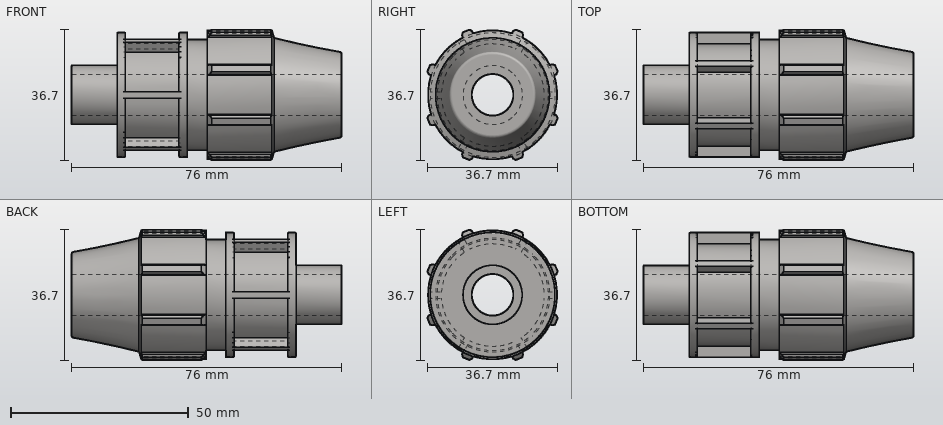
import cadquery as cq
import math

total_length = 76.0
bore_radius = 11.6 / 2

spigot_radius = 16.65 / 2
spigot_tip_fillet = 0.3

collar_start = 12.85
collar_end = 32.6
collar_radius = 35.1 / 2
flange_width = 2.35
flange_fillet = 0.45
groove_floor_radius = 14.45
collar_rib_count = 6
collar_rib_width = 1.8

neck_radius = 31.2 / 2

nut_start = 38.15
nut_edge = 56.4
nut_end = 57.0
nut_radius = 18.2
grip_count = 8
grip_outer_radius = 19.45
grip_base_width = 3.1
grip_top_width = 2.0
grip_shoulder_radius = 18.8

tail_start_radius = 16.0
tail_end_radius = 12.0
tail_sag = 0.19
tail_fillet = 0.75

groove_start = collar_start + flange_width
groove_end = collar_end - flange_width


def ring(start, end, radius):
    """Solid disc of the given radius between two positions on the X axis."""
    return cq.Workplane("YZ").workplane(offset=start).circle(radius).extrude(end - start)


def around_axis(solid, count, first_angle):
    """Union of equally spaced copies of a solid about the X axis."""
    copies = cq.Workplane("XY")
    for i in range(count):
        angle = first_angle + i * 360 / count
        copies = copies.union(solid.rotate((0, 0, 0), (1, 0, 0), angle))
    return copies


def make_spigot():
    return ring(0, collar_start, spigot_radius).faces("<X").edges().fillet(spigot_tip_fillet)


def make_collar():
    front_flange = ring(collar_start, groove_start, collar_radius)
    front_flange = front_flange.faces("<X or >X").edges().fillet(flange_fillet)
    rear_flange = ring(groove_end, collar_end, collar_radius)
    rear_flange = rear_flange.faces("<X").edges().fillet(flange_fillet)
    core = ring(groove_start, groove_end, groove_floor_radius)

    rib_start = groove_start - flange_fillet
    rib_end = groove_end + flange_fillet
    rib_length = rib_end - rib_start
    rib = (
        cq.Workplane("XY", origin=(rib_start, 0, 0))
        .box(rib_length, collar_rib_width, collar_radius, centered=(False, True, False))
    )
    ribs = around_axis(rib, collar_rib_count, 360 / collar_rib_count / 2)
    ribs = ribs.intersect(ring(rib_start, rib_end, collar_radius))
    return front_flange.union(rear_flange).union(core).union(ribs)


def make_nut():
    cone_run_per_radius = (nut_end - nut_edge) / (nut_radius - tail_start_radius)
    envelope_radius = math.hypot(grip_outer_radius, grip_top_width / 2)
    envelope_height = envelope_radius - nut_radius
    envelope = (
        cq.Workplane("XY")
        .moveTo(nut_start, 0)
        .lineTo(nut_start, nut_radius)
        .lineTo(nut_start + envelope_height, envelope_radius)
        .lineTo(nut_edge - envelope_height * cone_run_per_radius, envelope_radius)
        .lineTo(nut_end, tail_start_radius)
        .lineTo(nut_end, 0)
        .close()
        .revolve(360, (0, 0, 0), (1, 0, 0))
    )

    grip = (
        cq.Workplane("YZ", origin=(nut_start, 0, 0))
        .moveTo(-grip_base_width / 2, 0)
        .lineTo(-grip_base_width / 2, grip_shoulder_radius)
        .lineTo(-grip_top_width / 2, grip_outer_radius)
        .lineTo(grip_top_width / 2, grip_outer_radius)
        .lineTo(grip_base_width / 2, grip_shoulder_radius)
        .lineTo(grip_base_width / 2, 0)
        .close()
        .extrude(nut_end - nut_start)
    )
    grips = around_axis(grip, grip_count, 360 / grip_count / 2)
    return ring(nut_start, nut_end, nut_radius).union(grips).intersect(envelope)


def make_tail():
    middle = (nut_end + total_length) / 2
    middle_radius = (tail_start_radius + tail_end_radius) / 2 - tail_sag
    tail = (
        cq.Workplane("XY")
        .moveTo(nut_end, 0)
        .lineTo(nut_end, tail_start_radius)
        .threePointArc((middle, middle_radius), (total_length, tail_end_radius))
        .lineTo(total_length, 0)
        .close()
        .revolve(360, (0, 0, 0), (1, 0, 0))
    )
    return tail.faces(">X").edges().fillet(tail_fillet)


body = (
    make_spigot()
    .union(make_collar())
    .union(ring(collar_end, nut_start, neck_radius))
    .union(make_nut())
    .union(make_tail())
)
result = body.cut(ring(0, total_length, bore_radius))